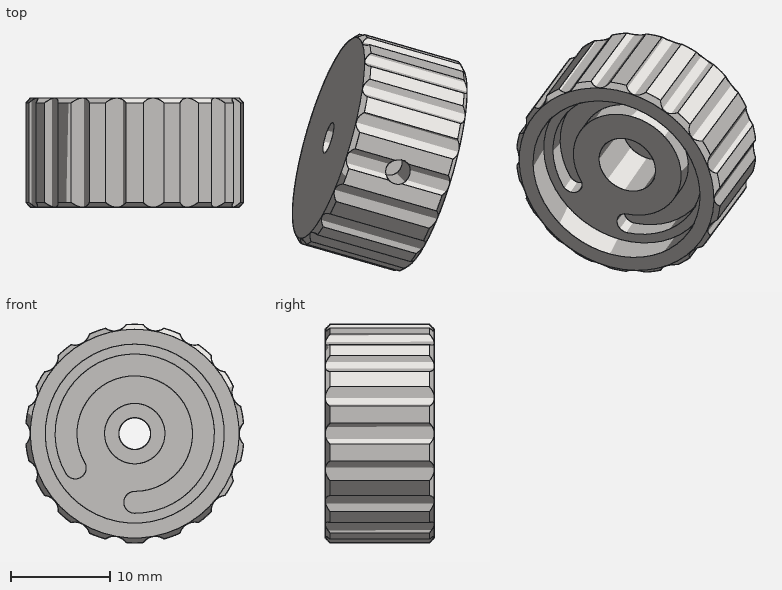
import cadquery as cq
import math


outer_radius = 11.0
width = 11.0
rim_chamfer = 0.5
open_face_y = -width / 2
closed_face_y = width / 2

flute_count = 18
flute_half_chord = 1.05
flute_bottom_radius = 10.52

recess_radius = 9.0
recess_depth = 3.0
recess_floor_y = open_face_y + recess_depth

slot_outer_radius = 8.0
slot_inner_radius = 5.8
slot_depth = 2.0
slot_start_angle = -90.0
slot_end_angle = 210.0

bore_radius = 3.04
bore_end_y = 4.0
through_hole_radius = 1.58

screw_hole_radius = 1.25
screw_hole_angle = (slot_start_angle + 360 + slot_end_angle) / 2
screw_hole_end_radius = slot_inner_radius


def polar(radius, degrees):
    """Point in the XZ plane, with the angle counted from +X toward +Z."""
    angle = math.radians(degrees)
    return radius * math.cos(angle), radius * math.sin(angle)


def disc(radius, y_start, y_end, center=(0, 0)):
    """Cylinder parallel to Y between two Y positions, centred on an (X, Z) point."""
    start = cq.Vector(center[0], y_start, center[1])
    return cq.Workplane(cq.Solid.makeCylinder(radius, y_end - y_start, start, cq.Vector(0, 1, 0)))


def cut_flutes(body):
    """Cut shallow round grooves along the full width, evenly spaced from +X."""
    edge_x = math.sqrt(outer_radius**2 - flute_half_chord**2)
    sagitta = edge_x - flute_bottom_radius
    flute_radius = (flute_half_chord**2 + sagitta**2) / (2 * sagitta)
    flute_center_radius = flute_bottom_radius + flute_radius
    for index in range(flute_count):
        center = polar(flute_center_radius, index * 360 / flute_count)
        body = body.cut(disc(flute_radius, open_face_y, closed_face_y, center))
    return body


def slot_tip(angle, outward_turn):
    """Outermost point of a round slot end, one end radius past its center."""
    center_x, center_z = polar((slot_outer_radius + slot_inner_radius) / 2, angle)
    step_x, step_z = polar((slot_outer_radius - slot_inner_radius) / 2, angle + outward_turn)
    return center_x + step_x, center_z + step_z


def curved_slot():
    """Ring-shaped slot with round ends, sunk below the recess floor."""
    middle_angle = (slot_start_angle + slot_end_angle) / 2
    outer_start = polar(slot_outer_radius, slot_start_angle)
    outer_middle = polar(slot_outer_radius, middle_angle)
    outer_end = polar(slot_outer_radius, slot_end_angle)
    inner_start = polar(slot_inner_radius, slot_start_angle)
    inner_middle = polar(slot_inner_radius, middle_angle)
    inner_end = polar(slot_inner_radius, slot_end_angle)
    return (
        cq.Workplane("XZ", origin=(0, recess_floor_y + slot_depth, 0))
        .moveTo(*outer_start)
        .threePointArc(outer_middle, outer_end)
        .threePointArc(slot_tip(slot_end_angle, 90), inner_end)
        .threePointArc(inner_middle, inner_start)
        .threePointArc(slot_tip(slot_start_angle, -90), outer_start)
        .close()
        .extrude(slot_depth)
    )


def screw_hole():
    """Blind radial hole at mid width, entering through the rim."""
    x, z = polar(1, screw_hole_angle)
    direction = cq.Vector(x, 0, z)
    length = outer_radius - screw_hole_end_radius
    return cq.Workplane(
        cq.Solid.makeCylinder(screw_hole_radius, length, direction * screw_hole_end_radius, direction)
    )


knob = disc(outer_radius, open_face_y, closed_face_y).edges().chamfer(rim_chamfer)
knob = cut_flutes(knob)
knob = knob.cut(disc(recess_radius, open_face_y, recess_floor_y))
knob = knob.cut(curved_slot())
knob = knob.cut(disc(bore_radius, recess_floor_y, bore_end_y))
knob = knob.cut(disc(through_hole_radius, bore_end_y, closed_face_y))
knob = knob.cut(screw_hole())

result = knob